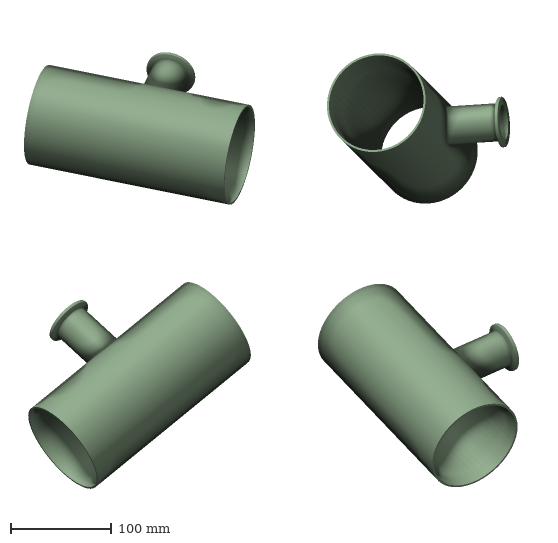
import cadquery as cq
import math

run_length = 209.5
run_diameter = 101.6
run_bore = 97.5

overall_depth = 155.5
branch_diameter = 38.1
branch_bore = 34.8
weld_radius = 1.7

flange_diameter = 50.5
rim_thickness = 3.5
cone_angle = 20.0
corner_radius = 0.8
neck_radius = 1.3

run_radius = run_diameter / 2
branch_radius = branch_diameter / 2
branch_face = overall_depth - run_radius


def cylinder_along_y(diameter, length):
    """Cylinder starting at the run axis and pointing along +Y."""
    return cq.Workplane("XZ").circle(diameter / 2).extrude(-length)


def cylinder_along_x(diameter):
    """Cylinder as long as the run, centred on the origin."""
    return cq.Workplane("YZ").circle(diameter / 2).extrude(run_length / 2, both=True)


def make_welded_tubes():
    """Run and branch as solid bars, with a fillet around their junction."""
    branch = cylinder_along_y(branch_diameter, branch_face)
    tubes = cylinder_along_x(run_diameter).union(branch)
    junction_box = cq.selectors.BoxSelector(
        (-branch_diameter, 0, -branch_diameter),
        (branch_diameter, run_diameter, branch_diameter),
        boundingbox=True,
    )
    return tubes.edges(junction_box).fillet(weld_radius)


def make_flange():
    """Solid flange turned about Y: rounded rim, tangent cone and a filleted neck."""
    rim_radius = flange_diameter / 2
    corner_x = rim_radius - corner_radius
    front_corner_y = branch_face - corner_radius
    back_corner_y = branch_face - rim_thickness + corner_radius
    slope = math.radians(cone_angle)

    front_arc_middle = (
        corner_x + corner_radius * math.sin(math.pi / 4),
        front_corner_y + corner_radius * math.cos(math.pi / 4),
    )

    cone_start_x = corner_x + corner_radius * math.sin(slope)
    cone_start_y = back_corner_y - corner_radius * math.cos(slope)
    middle_angle = math.pi / 4 - slope / 2
    back_arc_middle = (
        corner_x + corner_radius * math.cos(middle_angle),
        back_corner_y - corner_radius * math.sin(middle_angle),
    )

    neck_centre_x = branch_radius + neck_radius
    arc_end_x = neck_centre_x - neck_radius * math.sin(slope)
    arc_end_y = cone_start_y - (cone_start_x - arc_end_x) * math.tan(slope)
    neck_centre_y = arc_end_y - neck_radius * math.cos(slope)
    neck_arc_middle = (
        neck_centre_x - neck_radius * math.cos(middle_angle),
        neck_centre_y + neck_radius * math.sin(middle_angle),
    )

    return (
        cq.Workplane("XY")
        .moveTo(0, branch_face)
        .lineTo(corner_x, branch_face)
        .threePointArc(front_arc_middle, (rim_radius, front_corner_y))
        .lineTo(rim_radius, back_corner_y)
        .threePointArc(back_arc_middle, (cone_start_x, cone_start_y))
        .lineTo(arc_end_x, arc_end_y)
        .threePointArc(neck_arc_middle, (branch_radius, neck_centre_y))
        .lineTo(0, neck_centre_y)
        .close()
        .revolve(360, (0, 0, 0), (0, 1, 0))
    )


outside = make_welded_tubes().union(make_flange())
result = outside.cut(cylinder_along_x(run_bore)).cut(cylinder_along_y(branch_bore, branch_face))